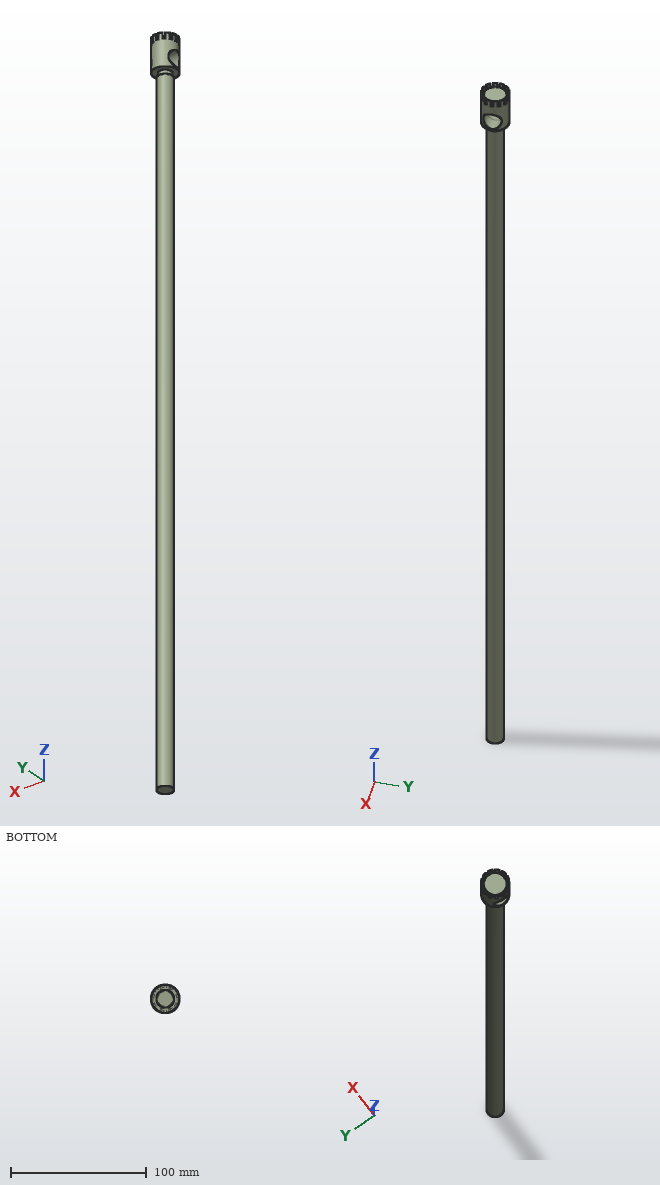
import cadquery as cq

total_length = 629.5

rod_diameter = 13.0
neck_diameter = 11.0
neck_height = 4.0

head_diameter = 21.0
head_height = 28.5
cross_hole_diameter = 14.0
cross_hole_drop = 20.0

recess_depth = 2.0
recess_floor_diameter = 17.0
recess_mouth_diameter = 20.0
notch_depth = 5.0
notch_width = 2.0
notch_count = 12

head_bottom = total_length - head_height
rod_length = head_bottom - neck_height


def make_body():
    """Rod, neck and head turned about Z in one profile."""
    rod_radius = rod_diameter / 2
    neck_radius = neck_diameter / 2
    head_radius = head_diameter / 2
    profile = [
        (0, 0),
        (rod_radius, 0),
        (rod_radius, rod_length),
        (neck_radius, rod_length),
        (neck_radius, head_bottom),
        (head_radius, head_bottom),
        (head_radius, total_length),
        (0, total_length),
    ]
    return cq.Workplane("XZ").polyline(profile).close().revolve(360, (0, 0, 0), (0, 1, 0))


def make_cross_hole():
    """Round hole through the head along X."""
    return (
        cq.Workplane("YZ")
        .center(0, total_length - cross_hole_drop)
        .circle(cross_hole_diameter / 2)
        .extrude(head_diameter, both=True)
    )


def make_recess():
    """Shallow tapered recess in the top of the head, wider at the mouth."""
    return (
        cq.Workplane("XY")
        .workplane(offset=total_length - recess_depth)
        .circle(recess_floor_diameter / 2)
        .workplane(offset=recess_depth)
        .circle(recess_mouth_diameter / 2)
        .loft()
    )


def make_notch(angle):
    """Notch in the crown wall, running outward from the recess floor."""
    inner_end = recess_floor_diameter / 2
    outer_end = head_diameter
    return (
        cq.Workplane("XY")
        .workplane(offset=total_length - notch_depth)
        .center((inner_end + outer_end) / 2, 0)
        .rect(outer_end - inner_end, notch_width)
        .extrude(notch_depth)
        .rotate((0, 0, 0), (0, 0, 1), angle)
    )


result = make_body().cut(make_cross_hole()).cut(make_recess())
for index in range(notch_count):
    result = result.cut(make_notch(index * 360 / notch_count))